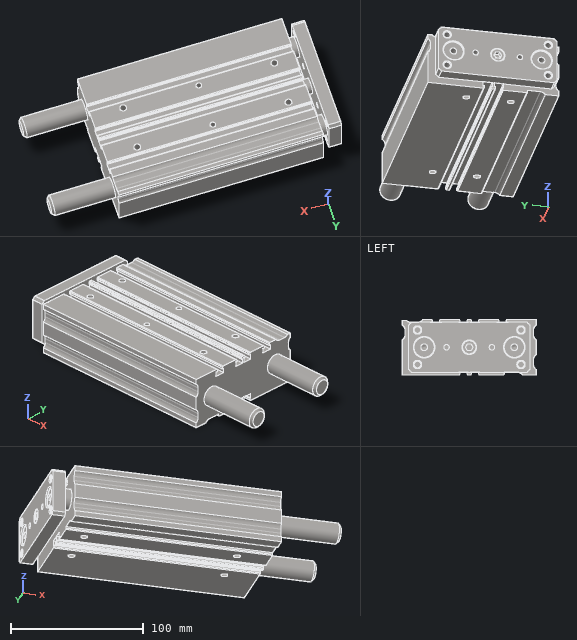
import cadquery as cq
import math

TOTAL_LENGTH = 228.0

HOUSING_START = 16.0
HOUSING_LENGTH = 162.0
HOUSING_WIDTH = 101.0
HOUSING_HEIGHT = 42.0
HALF_WIDTH = HOUSING_WIDTH / 2
HALF_HEIGHT = HOUSING_HEIGHT / 2

SLOT_NECK = 5.2
SLOT_MOUTH = 6.5
SLOT_NECK_DEPTH = 2.3
INNER_SLOT_FLOOR = 7.0
OUTER_SLOT_FLOOR = 8.0
SLOT_DEPTH = 6.0
SLOT_BEVEL = (SLOT_MOUTH - SLOT_NECK) / 2
INNER_SLOT_Y = 4.3
OUTER_SLOT_Y = 25.0

GROOVE_DEPTH = 2.0
GROOVE_ARC_WIDTH = 3.9
GROOVE_FLOOR = 3.5
SIDE_GROOVE_Z = 11.2
TOP_GROOVE_Y = 41.5
TOP_GROOVE_FLOOR = 5.2
STEP_DEPTH = 0.7
BOTTOM_GROOVE_INNER_Y = -25.8
BOTTOM_GROOVE_OUTER_Y = -40.1

MOUNT_HOLE_DIAMETER = 5.0
MOUNT_HOLE_X = HOUSING_START + 16.9
MOUNT_HOLE_PITCH = 120.0
MOUNT_HOLE_Y = 17.0
LOCATING_HOLE_DIAMETER = 4.0
LOCATING_HOLE_DEPTH = 10.0

PLATE_THICKNESS = 10.0
PLATE_WIDTH = 91.5
PLATE_HEIGHT = 37.8
PLATE_CHAMFER = 2.3
CORNER_HOLE_DIAMETER = 5.0
CORNER_HOLE_CHAMFER = 0.7
CORNER_HOLE_Y = 39.0
CORNER_HOLE_Z = 13.0
DOWEL_HOLE_DIAMETER = 4.0
DOWEL_HOLE_Y = 17.0

GUIDE_DIAMETER = 16.2
GUIDE_Y = 34.0
GUIDE_RECESS = 1.1
GUIDE_FRONT_CHAMFER = 0.5
GUIDE_END_CHAMFER = 2.0
GUIDE_HOLE_DIAMETER = 5.0
GUIDE_HOLE_DEPTH = 15.0
DRILL_POINT_ANGLE = 118.0

PISTON_DIAMETER = 12.0
REAR_WALL = 10.0

BOLT_HEAD_DIAMETER = 10.0
BOLT_HEAD_HEIGHT = 6.0
BOLT_RECESS = 0.2
BOLT_SHANK_DIAMETER = 6.0
BOLT_LENGTH = 20.0
SOCKET_ACROSS_FLATS = 5.0
SOCKET_SIDES = 6
SOCKET_DEPTH = 3.9
COUNTERBORE_DIAMETER = 11.0

BOLT_SEAT_X = BOLT_RECESS + BOLT_HEAD_HEIGHT
BOLT_END_X = BOLT_SEAT_X + BOLT_LENGTH
PISTON_END_X = HOUSING_START + HOUSING_LENGTH - REAR_WALL
CLEAR = 2.3


def rod_along_x(diameter, start, end, y=0.0):
    """Cylinder parallel to X between two X positions."""
    return cq.Workplane("YZ", origin=(start, y, 0)).circle(diameter / 2).extrude(end - start)


def along_housing(outline):
    """Extrude a closed profile over the length of the housing."""
    return outline.close().extrude(HOUSING_LENGTH)


def profile_plane():
    """Cross-section plane at the front face of the housing."""
    return cq.Workplane("YZ", origin=(HOUSING_START, 0, 0))


def slot_cutter(floor_width):
    """T-slot opening upwards, with its mouth at Z = 0."""
    neck = SLOT_NECK / 2
    mouth = SLOT_MOUTH / 2
    floor = floor_width / 2
    return along_housing(
        profile_plane()
        .moveTo(-floor, -SLOT_DEPTH)
        .lineTo(floor, -SLOT_DEPTH)
        .lineTo(floor, -SLOT_NECK_DEPTH)
        .lineTo(neck, -SLOT_NECK_DEPTH)
        .lineTo(neck, -SLOT_BEVEL)
        .lineTo(mouth, 0)
        .lineTo(mouth, CLEAR)
        .lineTo(-mouth, CLEAR)
        .lineTo(-mouth, 0)
        .lineTo(-neck, -SLOT_BEVEL)
        .lineTo(-neck, -SLOT_NECK_DEPTH)
        .lineTo(-floor, -SLOT_NECK_DEPTH)
    )


def arc_side(outline, floor_edge):
    """Draw from the floor edge up along the tangent arc to the mouth, then past the surface."""
    mouth = floor_edge + GROOVE_ARC_WIDTH
    return (
        outline.lineTo(floor_edge, -GROOVE_DEPTH)
        .tangentArcPoint((mouth, 0), relative=False)
        .lineTo(mouth, CLEAR)
    )


def round_groove_cutter(floor_width):
    """Shallow groove opening upwards, arcs on both sides, with its mouth at Z = 0."""
    half = arc_side(profile_plane().moveTo(0, -GROOVE_DEPTH), floor_width / 2)
    half = along_housing(half.lineTo(0, CLEAR))
    return half.union(half.mirror("XZ"))


def bottom_groove_cutter():
    """Groove opening upwards, one side bevelled and one side an arc; bevelled mouth edge at Y = 0."""
    floor_edge = BOTTOM_GROOVE_INNER_Y - BOTTOM_GROOVE_OUTER_Y - GROOVE_ARC_WIDTH
    outline = (
        profile_plane()
        .moveTo(0, CLEAR)
        .lineTo(0, 0)
        .lineTo(SLOT_BEVEL, -SLOT_BEVEL)
        .lineTo(SLOT_BEVEL, -GROOVE_DEPTH)
    )
    return along_housing(arc_side(outline, floor_edge))


def turned(cutter, angle):
    """Turn a cutter about the X axis."""
    return cutter.rotate((0, 0, 0), (1, 0, 0), angle)


def cut_profile(body):
    """Cut the slots and grooves that run along the whole housing."""
    inner_slot = slot_cutter(INNER_SLOT_FLOOR)
    outer_slot = slot_cutter(OUTER_SLOT_FLOOR)
    for side in (-1, 1):
        body = body.cut(outer_slot.translate((0, side * OUTER_SLOT_Y, HALF_HEIGHT)))
        body = body.cut(inner_slot.translate((0, side * INNER_SLOT_Y, HALF_HEIGHT)))
        body = body.cut(turned(inner_slot, 180).translate((0, side * INNER_SLOT_Y, -HALF_HEIGHT)))

    side_groove = round_groove_cutter(GROOVE_FLOOR)
    for z in (-SIDE_GROOVE_Z, SIDE_GROOVE_Z):
        body = body.cut(turned(side_groove, 90).translate((0, -HALF_WIDTH, z)))
    body = body.cut(turned(side_groove, -90).translate((0, HALF_WIDTH, SIDE_GROOVE_Z)))

    body = body.cut(round_groove_cutter(TOP_GROOVE_FLOOR).translate((0, TOP_GROOVE_Y, HALF_HEIGHT)))
    lowered_edge = cq.Workplane().box(
        HOUSING_LENGTH, HALF_WIDTH - TOP_GROOVE_Y, STEP_DEPTH, centered=False
    )
    body = body.cut(lowered_edge.translate((HOUSING_START, TOP_GROOVE_Y, HALF_HEIGHT - STEP_DEPTH)))

    bottom_groove = turned(bottom_groove_cutter(), 180)
    return body.cut(bottom_groove.translate((0, BOTTOM_GROOVE_INNER_Y, -HALF_HEIGHT)))


def cut_mount_holes(body):
    """Drill the two rows of vertical holes."""
    top = cq.Workplane("XY", origin=(0, 0, HALF_HEIGHT))
    middle_x = MOUNT_HOLE_X + MOUNT_HOLE_PITCH / 2
    for y in (-MOUNT_HOLE_Y, MOUNT_HOLE_Y):
        for x in (MOUNT_HOLE_X, MOUNT_HOLE_X + MOUNT_HOLE_PITCH):
            body = body.cut(top.center(x, y).circle(MOUNT_HOLE_DIAMETER / 2).extrude(-HOUSING_HEIGHT))
        locating = top.center(middle_x, y).circle(LOCATING_HOLE_DIAMETER / 2)
        body = body.cut(locating.extrude(-LOCATING_HOLE_DEPTH))
    return body


def make_housing():
    body = profile_plane().rect(HOUSING_WIDTH, HOUSING_HEIGHT).extrude(HOUSING_LENGTH)
    body = cut_mount_holes(cut_profile(body))
    for y in (-GUIDE_Y, GUIDE_Y):
        body = body.cut(rod_along_x(GUIDE_DIAMETER, HOUSING_START, TOTAL_LENGTH, y))
    return body.cut(rod_along_x(PISTON_DIAMETER, HOUSING_START, PISTON_END_X))


def make_plate():
    plate = cq.Workplane("YZ").rect(PLATE_WIDTH, PLATE_HEIGHT).extrude(PLATE_THICKNESS)
    plate = plate.edges("|X").chamfer(PLATE_CHAMFER)
    corner_hole = rod_along_x(CORNER_HOLE_DIAMETER, 0, PLATE_THICKNESS)
    countersink = (
        cq.Workplane("YZ")
        .circle(CORNER_HOLE_DIAMETER / 2 + CORNER_HOLE_CHAMFER)
        .workplane(offset=CORNER_HOLE_CHAMFER)
        .circle(CORNER_HOLE_DIAMETER / 2)
        .loft()
    )
    corner_hole = corner_hole.union(countersink)
    for side in (-1, 1):
        for z in (-CORNER_HOLE_Z, CORNER_HOLE_Z):
            plate = plate.cut(corner_hole.translate((0, side * CORNER_HOLE_Y, z)))
        plate = plate.cut(rod_along_x(DOWEL_HOLE_DIAMETER, 0, PLATE_THICKNESS, side * DOWEL_HOLE_Y))
        plate = plate.cut(rod_along_x(GUIDE_DIAMETER, 0, PLATE_THICKNESS, side * GUIDE_Y))
    plate = plate.cut(rod_along_x(COUNTERBORE_DIAMETER, 0, BOLT_SEAT_X))
    return plate.cut(rod_along_x(BOLT_SHANK_DIAMETER, 0, PLATE_THICKNESS))


def make_guide_rod(y):
    rod = rod_along_x(GUIDE_DIAMETER, GUIDE_RECESS, TOTAL_LENGTH, y)
    rod = rod.faces(">X").chamfer(GUIDE_END_CHAMFER)
    rod = rod.faces("<X").chamfer(GUIDE_FRONT_CHAMFER)
    hole_radius = GUIDE_HOLE_DIAMETER / 2
    hole_end = GUIDE_RECESS + GUIDE_HOLE_DEPTH
    point_length = hole_radius / math.tan(math.radians(DRILL_POINT_ANGLE / 2))
    point = cq.Solid.makeCone(hole_radius, 0, point_length, cq.Vector(hole_end, y, 0), cq.Vector(1, 0, 0))
    return rod.cut(rod_along_x(GUIDE_HOLE_DIAMETER, GUIDE_RECESS, hole_end, y)).cut(cq.Workplane(point))


def make_piston_rod():
    rod = rod_along_x(PISTON_DIAMETER, PLATE_THICKNESS, PISTON_END_X)
    return rod.cut(rod_along_x(BOLT_SHANK_DIAMETER, PLATE_THICKNESS, BOLT_END_X))


def make_bolt():
    bolt = rod_along_x(BOLT_HEAD_DIAMETER, BOLT_RECESS, BOLT_SEAT_X)
    bolt = bolt.union(rod_along_x(BOLT_SHANK_DIAMETER, BOLT_SEAT_X, BOLT_END_X))
    across_corners = SOCKET_ACROSS_FLATS / math.cos(math.pi / SOCKET_SIDES)
    socket = cq.Workplane("YZ", origin=(BOLT_RECESS, 0, 0)).polygon(SOCKET_SIDES, across_corners)
    return bolt.cut(socket.extrude(SOCKET_DEPTH))


housing = make_housing()
plate = make_plate()
guide_rods = [make_guide_rod(y) for y in (-GUIDE_Y, GUIDE_Y)]
piston_rod = make_piston_rod()
bolt = make_bolt()

result = cq.Compound.makeCompound(
    [
        housing.val(),
        plate.val(),
        *[rod.val() for rod in guide_rods],
        piston_rod.val(),
        bolt.val(),
    ]
)